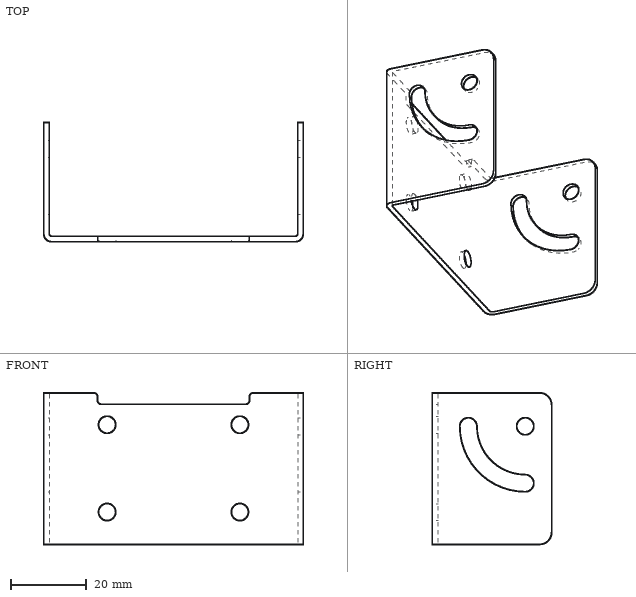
import cadquery as cq
import math

width = 68.5
depth = 31.5
height = 40.0
thickness = 1.5
bend_outer_radius = 2.2
bend_inner_radius = bend_outer_radius - thickness

notch_width = 40.0
notch_depth = 3.0
notch_radius = 1.0

hole_diameter = 4.45
web_hole_spacing_x = 35.0
web_hole_spacing_z = 23.0
web_hole_bottom_z = 8.55

flange_corner_radius = 3.2
pivot_y = 24.5
pivot_z = 31.2
slot_radius = 15.0
slot_width = hole_diameter


def bent_channel():
    """Web on the Y = 0 plane with a flange bent back at each end."""
    outer = (
        cq.Workplane("XY")
        .box(width, depth, height, centered=(True, False, False))
        .edges("|Z and <Y")
        .fillet(bend_outer_radius)
    )
    inner = (
        cq.Workplane("XY")
        .box(width - 2 * thickness, depth, height, centered=(True, False, False))
        .translate((0, thickness, 0))
        .edges("|Z and <Y")
        .fillet(bend_inner_radius)
    )
    return outer.cut(inner).edges("|X and >Y").fillet(flange_corner_radius)


def web_notch():
    """Cutter with rounded floor corners and flared, rounded mouth corners."""
    half = notch_width / 2
    floor = height - notch_depth
    r = notch_radius
    bend = r * math.sqrt(0.5)
    return (
        cq.Workplane("XZ")
        .moveTo(-half - r, height)
        .threePointArc((-half - r + bend, height - r + bend), (-half, height - r))
        .lineTo(-half, floor + r)
        .threePointArc((-half + r - bend, floor + r - bend), (-half + r, floor))
        .lineTo(half - r, floor)
        .threePointArc((half - r + bend, floor + r - bend), (half, floor + r))
        .lineTo(half, height - r)
        .threePointArc((half + r - bend, height - r + bend), (half + r, height))
        .close()
        .extrude(-thickness)
    )


def web_holes():
    """Four mounting holes through the web."""
    center_z = web_hole_bottom_z + web_hole_spacing_z / 2
    return (
        cq.Workplane("XZ")
        .center(0, center_z)
        .rarray(web_hole_spacing_x, web_hole_spacing_z, 2, 2)
        .circle(hole_diameter / 2)
        .extrude(-thickness)
    )


def flange_plane():
    """Sketch plane at mid-width with its origin on the pivot axis."""
    return cq.Workplane("YZ", origin=(0, pivot_y, pivot_z))


def pivot_holes():
    """Pivot hole through both flanges."""
    return flange_plane().circle(hole_diameter / 2).extrude(width / 2, both=True)


def arc_slots():
    """Slot through both flanges, from below the pivot round to its web side."""
    outer = slot_radius + slot_width / 2
    inner = slot_radius - slot_width / 2
    diagonal = -math.sqrt(0.5)
    return (
        flange_plane()
        .moveTo(0, -outer)
        .threePointArc((outer * diagonal, outer * diagonal), (-outer, 0))
        .threePointArc((-slot_radius, slot_width / 2), (-inner, 0))
        .threePointArc((inner * diagonal, inner * diagonal), (0, -inner))
        .threePointArc((slot_width / 2, -slot_radius), (0, -outer))
        .close()
        .extrude(width / 2, both=True)
    )


result = (
    bent_channel()
    .cut(web_notch())
    .cut(web_holes())
    .cut(pivot_holes())
    .cut(arc_slots())
)